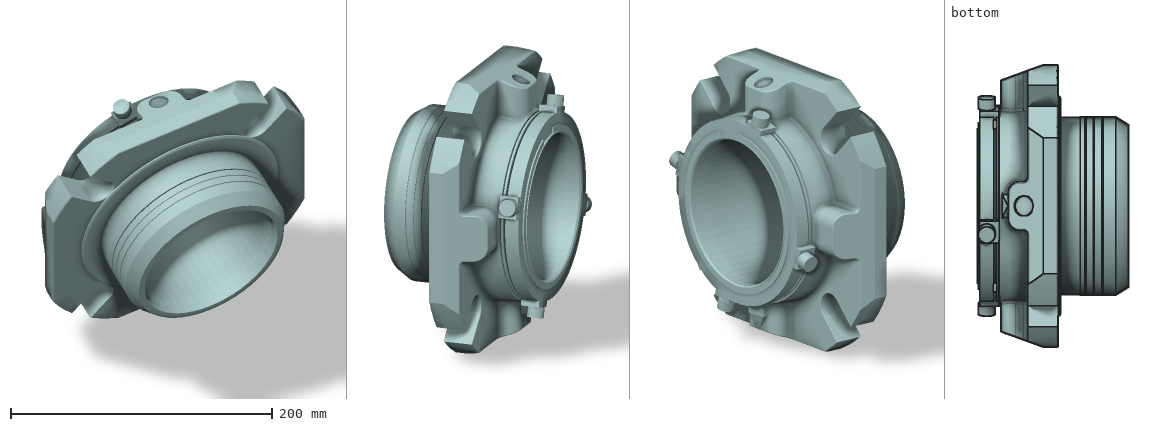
import cadquery as cq
import math

plate_side = 216.2
plate_corner_radius = 120.0
plate_front_x = 38.5
plate_back_x = 61.8
slope_end_x = 50.4
slope_angle = 20.0
plate_back_round = 1.0
front_edge_round = 1.0

slot_start_angle = 45.0
slot_width = 22.7
slot_centre_radius = 95.0
slot_mouth_round = 0.6
slot_mouth_limit = 114.5
corner_zone = 47.5

boss_front_x = 18.0
low_boss_front_x = 23.5
boss_half_width = 18.5
boss_corner_radius = 11.2
low_boss_corner_radius = 8.6
boss_root_round = 3.2
pad_front_x = 19.0
pad_half_width = 8.6
pad_bend_z = 85.2
pad_tip_z = 97.3
pad_root_round = 1.0
port_x = 27.0
low_port_x = 35.5
port_diameter = 15.3
port_depth = 2.2

hub_front_x = 16.9
hub_front_radius = 74.0
hub_back_radius = 75.9
hub_root_round = 2.5

bore_diameter = 114.3
bore_mouth_radius = 58.4
bore_mouth_depth = 1.3
sleeve_radius = 59.2
sleeve_end_x = 115.9
snap_front_x = 0.6
snap_radius = 63.8
snap_gap_angle = 20.0
lock_ring_front_x = 1.7
lock_ring_back_x = 12.5
lock_ring_radius = 73.0
face_ring_front_x = 14.3
face_ring_back_x = 16.0
face_neck_radius = 68.5
gasket_radius = 84.3
gasket_back_x = 63.8
gasket_bevel_x = 63.0
gasket_back_radius = 82.5
spigot_neck_radius = 68.0
spigot_neck_end_x = 79.0
spigot_radius = 68.3
spigot_taper_x = 106.0
spigot_end_radius = 62.3
spigot_grooves = [(82.4, 83.5, 66.5), (88.8, 89.7, 67.7), (95.3, 96.5, 67.7)]

lug_count = 4
lug_start_angle = 15.0
lug_width = 17.3
lug_front_x = 2.0
lug_back_x = 16.6
lug_top_radius = 77.4
lug_bottom_radius = 70.5
screw_x = 7.1
screw_diameter = 13.0
screw_top_radius = 85.8

overlap = 2.2
tolerance = 0.002
slope = math.tan(math.radians(slope_angle))
half_side = plate_side / 2
bore_radius = bore_diameter / 2


def ring(x_start, x_end, radius, end_radius=None):
    """Solid disc or cone about the X axis."""
    end_radius = radius if end_radius is None else end_radius
    outline = [(x_start, 0), (x_start, radius), (x_end, end_radius), (x_end, 0)]
    return cq.Workplane("XY").polyline(outline).close().revolve(360, (0, 0, 0), (1, 0, 0))


def spin(shape, angle):
    """Turn a shape about the X axis, from +Z towards -Y."""
    return shape.rotate((0, 0, 0), (1, 0, 0), angle)


def side_envelope():
    """Four-sided block whose sides lean inwards toward the front."""
    front_half = half_side - slope * slope_end_x
    outline = [
        (0, 0),
        (0, front_half),
        (slope_end_x, half_side),
        (plate_back_x, half_side),
        (plate_back_x, 0),
    ]
    envelope = None
    for plane in ("XY", "XZ"):
        half = cq.Workplane(plane).polyline(outline).close().extrude(plate_side, both=True)
        mirrored = half.union(spin(half, 180))
        envelope = mirrored if envelope is None else envelope.intersect(mirrored)
    return envelope


def boss(front_x, corner_radius):
    """Rounded radial boss on the +Z side, running out to the plate edge."""
    diag = math.sqrt(0.5)
    side_y = boss_half_width
    flat_y = side_y - corner_radius
    foot_y = side_y + boss_root_round
    root_x = plate_front_x
    foot_x = root_x - boss_root_round
    corner_x = front_x + corner_radius
    corner_mid_x = corner_x - corner_radius * diag
    corner_mid_y = flat_y + corner_radius * diag
    foot_mid_x = foot_x + boss_root_round * diag
    foot_mid_y = foot_y - boss_root_round * diag
    outline = (
        cq.Workplane("XY")
        .moveTo(root_x + overlap, -foot_y)
        .lineTo(root_x, -foot_y)
        .threePointArc((foot_mid_x, -foot_mid_y), (foot_x, -side_y))
        .lineTo(corner_x, -side_y)
        .threePointArc((corner_mid_x, -corner_mid_y), (front_x, -flat_y))
        .lineTo(front_x, flat_y)
        .threePointArc((corner_mid_x, corner_mid_y), (corner_x, side_y))
        .lineTo(foot_x, side_y)
        .threePointArc((foot_mid_x, foot_mid_y), (root_x, foot_y))
        .lineTo(root_x + overlap, foot_y)
        .close()
    )
    return outline.extrude(half_side)


def low_boss_pad():
    """Pointed pad on the lower boss, its face falling away towards the tip."""
    outline = [
        (-pad_half_width, 0),
        (pad_half_width, 0),
        (pad_half_width, -pad_bend_z),
        (0, -pad_tip_z),
        (-pad_half_width, -pad_bend_z),
    ]
    side = [
        (pad_front_x, 0),
        (pad_front_x, -pad_bend_z),
        (low_boss_front_x, -pad_tip_z),
        (low_boss_front_x, 0),
    ]
    pad = cq.Workplane("YZ").polyline(outline).close().extrude(low_boss_front_x)
    return pad.intersect(cq.Workplane("XZ").polyline(side).close().extrude(plate_side, both=True))


def port(centre_x):
    """Shallow blind port square to the sloped upper side."""
    face_z = half_side - slope * (slope_end_x - centre_x)
    tilt = math.radians(slope_angle)
    inward = cq.Vector(math.sin(tilt), 0, -math.cos(tilt))
    start = cq.Vector(centre_x, 0, face_z) - inward * overlap
    return cq.Workplane(cq.Solid.makeCylinder(port_diameter / 2, port_depth + overlap, start, inward))


def lock_lug():
    """Block under a radial clamp screw, bridging the lock ring to the face ring."""
    length = lug_back_x - lug_front_x
    height = lug_top_radius - lug_bottom_radius
    block = cq.Workplane("XY").box(length, lug_width, height, centered=(False, True, False))
    block = block.translate((lug_front_x, 0, lug_bottom_radius))
    screw = cq.Workplane("XY", origin=(screw_x, 0, lug_top_radius)).circle(screw_diameter / 2)
    return block.union(screw.extrude(screw_top_radius - lug_top_radius))


def bolt_slot():
    """Round-bottomed slot opening outwards along +Z."""
    length = plate_side
    slot = cq.Workplane("XY").box(length, slot_width, length, centered=(True, True, False))
    bottom = cq.Workplane("YZ").circle(slot_width / 2).extrude(length / 2, both=True)
    return slot.union(bottom).translate((0, 0, slot_centre_radius))


def is_side_slope(face):
    """True on the leaning sides of the plate and bosses."""
    slope_normal = -math.sin(math.radians(slope_angle))
    return face.geomType() == "PLANE" and abs(face.normalAt().x - slope_normal) < tolerance


def slot_mouth_edges(body):
    """Edges round the slots on the plate front."""
    found = []
    for edge in body.edges().vals():
        middle = edge.Center()
        on_front = edge.BoundingBox().xlen < tolerance and abs(middle.x - plate_front_x) < tolerance
        in_corner = min(abs(middle.y), abs(middle.z)) > corner_zone
        inside_trim = math.hypot(middle.y, middle.z) < slot_mouth_limit
        if on_front and in_corner and inside_trim:
            found.append(edge)
    return found


def casting():
    """Plate, hub and bosses as one body with slots and rounded edges."""
    body = ring(plate_front_x, plate_back_x, plate_corner_radius)
    for angle in (0, 90, -90):
        body = body.union(spin(boss(boss_front_x, boss_corner_radius), angle))
    body = body.union(spin(boss(low_boss_front_x, low_boss_corner_radius), 180))
    body = body.intersect(side_envelope())
    body = body.faces(">X").edges().fillet(plate_back_round)

    slope_edges = [edge for face in body.faces().vals() if is_side_slope(face) for edge in face.Edges()]
    rims = [edge for edge in slope_edges if edge.BoundingBox().xmax < slope_end_x - tolerance]
    body = body.newObject(rims).fillet(front_edge_round)

    for index in range(4):
        body = body.cut(spin(bolt_slot(), slot_start_angle + 90 * index))
    body = body.newObject(slot_mouth_edges(body)).fillet(slot_mouth_round)

    body = body.union(ring(hub_front_x, plate_front_x, hub_front_radius, hub_back_radius))
    cones = body.faces("%CONE").vals()
    hub_face = max(cones, key=lambda face: face.Area())
    hub_root = [edge for edge in hub_face.Edges() if edge.BoundingBox().xmax > hub_front_x + tolerance]
    body = body.newObject(hub_root).fillet(hub_root_round)

    body = body.union(low_boss_pad())
    foot_reach = (low_boss_front_x + tolerance, pad_half_width + tolerance, 0)
    foot_start = (low_boss_front_x - tolerance, -pad_half_width - tolerance, -pad_bend_z)
    return body.edges("|Z").edges(cq.selectors.BoxSelector(foot_start, foot_reach)).fillet(pad_root_round)


def gasket():
    """Thin disc behind the plate with a bevelled rear edge."""
    flat = ring(plate_back_x, gasket_bevel_x, gasket_radius)
    return flat.union(ring(gasket_bevel_x, gasket_back_x, gasket_radius, gasket_back_radius))


def spigot():
    """Rear sleeve end with a slim neck, seal grooves and a tapered nose."""
    body = ring(gasket_back_x, spigot_neck_end_x, spigot_neck_radius)
    body = body.union(ring(spigot_neck_end_x, spigot_taper_x, spigot_radius))
    body = body.union(ring(spigot_taper_x, sleeve_end_x, spigot_radius, spigot_end_radius))
    for start, end, radius in spigot_grooves:
        body = body.cut(ring(start, end, gasket_radius).cut(ring(start, end, radius)))
    return body


def snap_ring():
    """Split ring in front of the lock ring, open from the top towards +Y."""
    gap_reach = 2 * snap_radius
    gap_end = math.radians(snap_gap_angle)
    gap = (
        cq.Workplane("YZ", origin=(snap_front_x, 0, 0))
        .polyline([(0, 0), (0, gap_reach), (gap_reach * math.sin(gap_end), gap_reach * math.cos(gap_end))])
        .close()
        .extrude(lock_ring_front_x - snap_front_x)
    )
    return ring(snap_front_x, lock_ring_front_x, snap_radius).cut(gap)


result = casting()
result = result.union(ring(0, gasket_back_x, sleeve_radius))
result = result.union(snap_ring())
result = result.union(ring(lock_ring_front_x, lock_ring_back_x, lock_ring_radius))
result = result.union(ring(face_ring_front_x, face_ring_back_x, lock_ring_radius))
result = result.union(ring(face_ring_back_x, hub_front_x, face_neck_radius))
result = result.union(gasket())
result = result.union(spigot())
for index in range(lug_count):
    result = result.union(spin(lock_lug(), lug_start_angle + 360 / lug_count * index))
result = result.cut(port(port_x)).cut(spin(port(low_port_x), 180))
result = result.cut(ring(0, sleeve_end_x, bore_radius))
result = result.cut(ring(0, bore_mouth_depth, bore_mouth_radius, bore_radius))